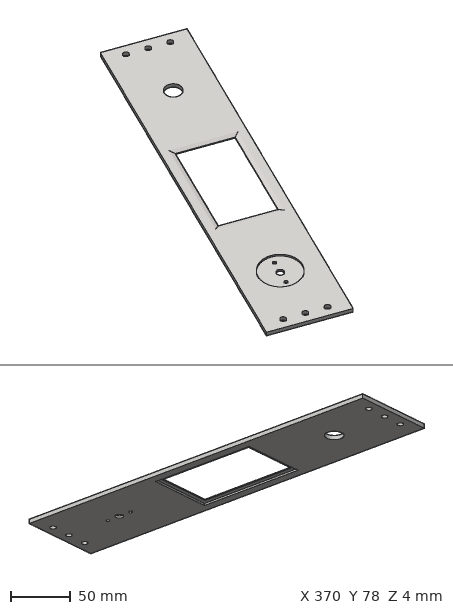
import cadquery as cq

length = 370.0
width = 78.0
thickness = 4.0

mount_diameter = 5.5
mount_edge_distance = 10.0
mount_pitch = 20.0
mounts_per_row = 3

window_top_length = 103.5
window_top_width = 61.8
window_bevel_run = 4.0
window_bevel_depth = 1.0
window_lip_height = 1.0
window_opening_length = window_top_length - 2 * window_bevel_run
window_opening_width = window_top_width - 2 * window_bevel_run

side_feature_offset = 119.0
large_hole_diameter = 16.3
recess_diameter = 40.0
recess_depth = 2.0
shaft_hole_diameter = 7.0
screw_hole_diameter = 3.2
screw_hole_spacing = 25.5

top_z = thickness / 2
bottom_z = -top_z


def vertical_cylinders(points, diameter, base_z, height):
    """Cylinders rising from base_z at the given plan positions."""
    return cq.Workplane("XY", origin=(0, 0, base_z)).pushPoints(points).circle(diameter / 2).extrude(height)


def through_holes(points, diameter):
    return vertical_cylinders(points, diameter, bottom_z, thickness)


def mounting_holes():
    row_x = length / 2 - mount_edge_distance
    first_y = -mount_pitch * (mounts_per_row - 1) / 2
    points = [(x, first_y + i * mount_pitch) for x in (-row_x, row_x) for i in range(mounts_per_row)]
    return through_holes(points, mount_diameter)


def window():
    opening = (
        cq.Workplane("XY", origin=(0, 0, bottom_z))
        .rect(window_opening_length, window_opening_width)
        .extrude(thickness)
    )
    bevel = (
        cq.Workplane("XY", origin=(0, 0, top_z - window_bevel_depth))
        .rect(window_opening_length, window_opening_width)
        .workplane(offset=window_bevel_depth)
        .rect(window_top_length, window_top_width)
        .loft(ruled=True)
    )
    rebate = (
        cq.Workplane("XY", origin=(0, 0, bottom_z))
        .rect(window_top_length, window_top_width)
        .extrude(thickness - window_bevel_depth - window_lip_height)
    )
    return opening.union(bevel).union(rebate)


def cut_recess(plate):
    """Shallow round recess with a shaft hole between two screw holes."""
    centre = (side_feature_offset, 0)
    screws = [(side_feature_offset + side * screw_hole_spacing / 2, 0) for side in (-1, 1)]
    plate = plate.cut(vertical_cylinders([centre], recess_diameter, top_z - recess_depth, recess_depth))
    plate = plate.cut(through_holes([centre], shaft_hole_diameter))
    return plate.cut(through_holes(screws, screw_hole_diameter))


plate = cq.Workplane("XY").box(length, width, thickness)
plate = plate.cut(mounting_holes())
plate = plate.cut(window())
plate = plate.cut(through_holes([(-side_feature_offset, 0)], large_hole_diameter))
result = cut_recess(plate)